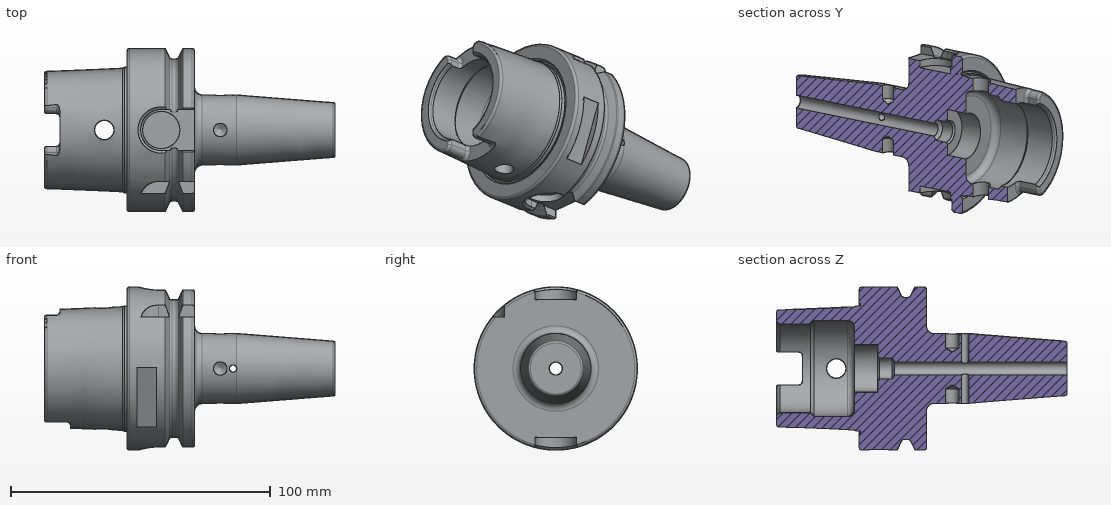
import cadquery as cq
import math


overall_length = 112.0
taper_end = 30.0
flange_start = 31.8
flange_end = 57.9
nose_cone_start = 73.9

shank_tip_radius = 22.6
shank_root_radius = 23.9
collar_radius = 24.2
flange_radius = 31.5
stem_radius = 13.5
nose_radius = 10.5

collar_ramp_length = 0.8
flange_fillet = 1.0
shank_tip_fillet = 1.0
stem_root_fillet = 2.9
nose_fillet = 0.8

face_recess_rim_radius = 25.4
face_recess_floor_radius = 24.9
face_recess_depth = 0.6

groove_center = 50.0
groove_floor_radius = 27.4
groove_floor_width = 2.9
groove_flank_angle = 26.0
groove_floor_fillet = 1.1
groove_edge_fillet = 0.5

keyway_center = 45.0
keyway_half_width = 8.0
keyway_floor_height = 26.5
keyway_chamfer = 1.0
keyway_tail_chamfer = 0.7
keyway_clearance = 1.1
pocket_radius = 7.2
pocket_depth = 2.8

seam_angle = 37.0

notch_offset = 19.8
notch_end_radius = 7.2
notch_end_center = 43.9

flat_start = 35.6
flat_length = 7.6
flat_distance = 28.9
flat_tilt = 22.5

drive_half_width = 6.3
drive_shoulder_height = 20.6
drive_shoulder_radius = 2.5
drive_floor_fillet = 1.3
upper_drive_depth = 5.9
lower_drive_depth = 10.0

cavity_rim_radius = 18.1
cavity_lead_radius = 17.5
cavity_lead_length = 0.7
cavity_mouth_radius = 17.0
cavity_mouth_length = 13.1
undercut_radius = 18.5
undercut_angle = 45.0
cavity_depth = 30.0
cavity_floor_fillet = 2.7
thread_radius = 9.1
thread_depth = 9.0
lead_bore_radius = 4.0
lead_bore_chamfer = 0.7
lead_bore_depth = 5.6
bore_radius = 2.5
drill_half_angle = 59.0

clamp_hole_x = 23.1
clamp_hole_radius = 3.7
balance_hole_x = 67.8
balance_hole_radius = 2.6
balance_hole_depth = 5.6
cross_hole_x = 72.7
cross_hole_radius = 1.3


def turned_from(points):
    return cq.Workplane("XY").polyline(points).close().revolve(360, (0, 0, 0), (1, 0, 0))


def circle_edges(body, x, radius):
    """Edges of the body that are circles about the X axis at the given station and radius."""
    tolerance = 0.01
    return body.edges(
        cq.selectors.BoxSelector(
            (x - tolerance, -tolerance, -tolerance), (x + tolerance, tolerance, tolerance)
        )
    ).filter(lambda edge: edge.geomType() == "CIRCLE" and abs(edge.radius() - radius) < tolerance)


def cylinder_along(direction, center, radius, start, length):
    plane = cq.Plane(center, normal=direction)
    return cq.Workplane(plane).workplane(offset=start).circle(radius).extrude(length)


def turned_body():
    floor_half = groove_floor_width / 2
    spread = math.tan(math.radians(groove_flank_angle))
    edge_half = floor_half + (flange_radius - groove_floor_radius) * spread
    groove_floor = [(groove_center + side * floor_half, groove_floor_radius) for side in (-1, 1)]
    groove_edges = [(groove_center + side * edge_half, flange_radius) for side in (-1, 1)]
    body = turned_from([
        (0, 0),
        (0, shank_tip_radius),
        (taper_end, shank_root_radius),
        (taper_end + collar_ramp_length, collar_radius),
        (flange_start + face_recess_depth, collar_radius),
        (flange_start + face_recess_depth, face_recess_floor_radius),
        (flange_start, face_recess_rim_radius),
        (flange_start, flange_radius),
        groove_edges[0],
        *groove_floor,
        groove_edges[1],
        (flange_end, flange_radius),
        (flange_end, stem_radius),
        (nose_cone_start, stem_radius),
        (overall_length, nose_radius),
        (overall_length, 0),
    ])
    body = circle_edges(body, flange_start, flange_radius).fillet(flange_fillet)
    body = circle_edges(body, flange_end, flange_radius).fillet(flange_fillet)
    body = circle_edges(body, flange_end, stem_radius).fillet(stem_root_fillet)
    for x, radius in groove_floor:
        body = circle_edges(body, x, radius).fillet(groove_floor_fillet)
    for x, radius in groove_edges:
        body = circle_edges(body, x, radius).fillet(groove_edge_fillet)
    body = circle_edges(body, overall_length, nose_radius).fillet(nose_fillet)
    return body.rotate((0, 0, 0), (1, 0, 0), seam_angle)


def keyway():
    """Round-ended keyway running out through the flange end, with a round pocket in its floor."""
    run_out = flange_end - keyway_center
    floor = cq.Workplane(origin=(keyway_center, 0, keyway_floor_height))
    outline = (
        floor.moveTo(0, keyway_half_width)
        .lineTo(run_out, keyway_half_width)
        .lineTo(run_out, -keyway_half_width)
        .lineTo(0, -keyway_half_width)
        .threePointArc((-keyway_half_width, 0), (0, keyway_half_width))
        .close()
        .extrude(flange_radius)
    )
    pocket = floor.circle(pocket_radius).extrude(-pocket_depth)
    return outline.union(pocket)


def beveled_keyway(first, last, bevel):
    """The keyway between two X stations, its rim beveled where it opens on the flange."""
    ring_radius = flange_radius + keyway_clearance
    ring = cylinder_along((1, 0, 0), (0, 0, 0), ring_radius, first, last - first)
    slotted = ring.cut(keyway())

    def on_rim(edge):
        middle = edge.positionAt(0.5)
        outside = math.hypot(middle.y, middle.z) > ring_radius - 0.01
        return outside and first < middle.x < last - 0.01 and abs(middle.y) < keyway_half_width + 0.01

    beveled = slotted.edges().filter(on_rim).chamfer(bevel + keyway_clearance)
    return ring.cut(beveled)


def corner_notch():
    """Square corner cut whose milled end is round about a vertical axis."""
    outside = flange_radius
    length = flange_end - notch_end_center
    corner = cq.Workplane("XY").workplane(offset=notch_offset)
    straight = (
        corner.moveTo(notch_end_center, -notch_offset)
        .rect(length, -outside, centered=False)
        .extrude(outside)
    )
    round_end = (
        corner.center(notch_end_center, -notch_offset - notch_end_radius)
        .circle(notch_end_radius)
        .extrude(outside)
    )
    return straight.union(round_end)


def flange_flat():
    """Slab removed to leave a tilted flat facing -Y and downwards."""
    slab = cq.Workplane("XY").box(
        flat_length, flange_radius, 2 * flange_radius, centered=(False, False, True)
    )
    slab = slab.translate((flat_start, -flat_distance - flange_radius, 0))
    return slab.rotate((0, 0, 0), (1, 0, 0), flat_tilt)


def drive_slot(side, depth):
    """Slot through one wall of the shank tip, widening over rounded shoulders."""
    outside = 2 * flange_radius
    plane = cq.Plane(origin=(depth, 0, 0), xDir=(0, 1, 0), normal=(1, 0, 0))
    w, h, r = drive_half_width, drive_shoulder_height, drive_shoulder_radius
    bend = r * (1 - math.sqrt(0.5))
    slot = (
        cq.Workplane(plane)
        .moveTo(-w, 0)
        .lineTo(-w, h - r)
        .threePointArc((-w - bend, h - bend), (-w - r, h))
        .lineTo(-outside, h)
        .lineTo(-outside, outside)
        .lineTo(outside, outside)
        .lineTo(outside, h)
        .lineTo(w + r, h)
        .threePointArc((w + bend, h - bend), (w, h - r))
        .lineTo(w, 0)
        .close()
        .extrude(-2 * depth)
    )
    slot = slot.faces(">X").edges().fillet(drive_floor_fillet)
    if side < 0:
        slot = slot.rotate((0, 0, 0), (1, 0, 0), 180)
    return slot


def clamping_cavity():
    spread = math.tan(math.radians(undercut_angle))
    undercut_start = cavity_mouth_length + (undercut_radius - cavity_mouth_radius) / spread
    cavity = turned_from([
        (0, 0),
        (0, cavity_rim_radius),
        (cavity_lead_length, cavity_lead_radius),
        (2 * cavity_lead_length, cavity_mouth_radius),
        (cavity_mouth_length, cavity_mouth_radius),
        (undercut_start, undercut_radius),
        (cavity_depth, undercut_radius),
        (cavity_depth, 0),
    ])
    return circle_edges(cavity, cavity_depth, undercut_radius).fillet(cavity_floor_fillet)


def central_bore():
    thread_end = cavity_depth + thread_depth
    lead_end = thread_end + lead_bore_depth
    cone_length = (lead_bore_radius - bore_radius) / math.tan(math.radians(drill_half_angle))
    return turned_from([
        (cavity_depth, 0),
        (cavity_depth, thread_radius),
        (thread_end, thread_radius),
        (thread_end, lead_bore_radius + lead_bore_chamfer),
        (thread_end + lead_bore_chamfer, lead_bore_radius),
        (lead_end, lead_bore_radius),
        (lead_end + cone_length, bore_radius),
        (overall_length, bore_radius),
        (overall_length, 0),
    ])


def balance_hole(angle):
    """Blind drilled hole with a conical end, entering the stem at the given angle about X."""
    floor = stem_radius - balance_hole_depth
    cone_tip = floor - balance_hole_radius / math.tan(math.radians(drill_half_angle))
    hole = (
        cq.Workplane("XZ")
        .moveTo(balance_hole_x, cone_tip)
        .lineTo(balance_hole_x + balance_hole_radius, floor)
        .lineTo(balance_hole_x + balance_hole_radius, flange_radius)
        .lineTo(balance_hole_x, flange_radius)
        .close()
        .revolve(360, (balance_hole_x, 0, 0), (balance_hole_x, 1, 0))
    )
    return hole.rotate((0, 0, 0), (1, 0, 0), angle)


body = turned_body()

front_keyway = beveled_keyway(flange_start, groove_center, keyway_chamfer)
rear_keyway = beveled_keyway(groove_center, flange_end, keyway_tail_chamfer)
for side_angle in (0, 180):
    for cutter in (front_keyway, rear_keyway):
        body = body.cut(cutter.rotate((0, 0, 0), (1, 0, 0), side_angle))
body = body.cut(corner_notch()).cut(flange_flat())

body = body.cut(drive_slot(1, upper_drive_depth)).cut(drive_slot(-1, lower_drive_depth))
body = body.faces("<X").edges().fillet(shank_tip_fillet)
body = body.cut(clamping_cavity()).cut(central_bore())

through = 2 * flange_radius
body = body.cut(
    cylinder_along((0, 0, 1), (clamp_hole_x, 0, 0), clamp_hole_radius, -flange_radius, through)
)
body = body.cut(
    cylinder_along((0, 1, 0), (cross_hole_x, 0, 0), cross_hole_radius, -flange_radius, through)
)
for angle in range(0, 360, 90):
    body = body.cut(balance_hole(angle))

result = body